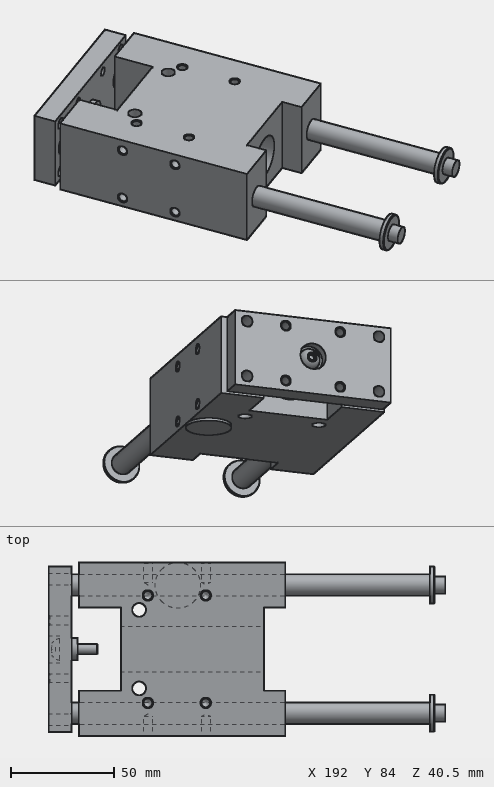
import cadquery as cq
import math

total_length = 192.0

housing_x = 14.5
housing_length = 100.0
housing_width = 84.0
housing_height = 39.2
notch_width = 40.1
front_notch_depth = 20.4
rear_notch_depth = 10.4
centre_bore_diameter = 22.0
foot_diameter = 22.0
foot_height = 1.3
foot_x = 62.4

tapped_x = 48.0
tapped_pitch_x = 28.0
top_tapped_pitch_y = 52.0
side_tapped_pitch_z = 28.0
tap_diameter = 4.2
tap_mouth_diameter = 5.2
tap_depth = 9.6
drill_tip_angle = 118.0

through_diameter = 6.5
through_x = 43.8
through_pitch_y = 38.0

plate_thickness = 11.1
plate_width = 80.3
plate_height = 38.0
axis_z = plate_height / 2
plate_hole_pitch_z = 28.0
corner_hole_diameter = 5.5
corner_hole_pitch_y = 68.0
inner_hole_pitch_y = 28.0
counterbore_diameter = 13.0
counterbore_depth = 5.0

rod_diameter = 10.5
rod_pitch = 62.0
collar_x = 184.5
collar_thickness = 2.3
collar_diameter = 18.0
collar_chamfer = 0.4
rod_end_diameter = 8.5

head_diameter = 10.5
head_height = 3.8
head_tip_diameter = 4.8
socket_size = 3.0
socket_depth = 2.0
spacer_diameter = 11.0
spacer_thickness = 2.9
screw_diameter = 5.2
screw_end_x = 23.8
screw_chamfer = 0.5


def rod_along_x(x_start, x_end, diameter, y=0.0):
    """Cylinder on the rod axis height, from x_start to x_end."""
    return cq.Workplane("YZ", origin=(x_start, y, axis_z)).circle(diameter / 2).extrude(x_end - x_start)


def drill(diameter, mouth_diameter, depth):
    """Blind drilled hole along -Z from the origin, with a 45 degree mouth and a conical tip."""
    radius = diameter / 2
    mouth_radius = mouth_diameter / 2
    tip_length = radius / math.tan(math.radians(drill_tip_angle / 2))
    profile = [
        (0, 0),
        (mouth_radius, 0),
        (radius, radius - mouth_radius),
        (radius, -depth),
        (0, -depth - tip_length),
    ]
    return cq.Workplane("XZ").polyline(profile).close().revolve(360, (0, 0, 0), (0, 1, 0))


def make_housing():
    centre_x = housing_x + housing_length / 2
    rear_x = housing_x + housing_length
    body = cq.Workplane("XY").box(housing_length, housing_width, housing_height, centered=(True, True, False))
    body = body.translate((centre_x, 0, 0))

    for edge_x, depth in ((housing_x, front_notch_depth), (rear_x, rear_notch_depth)):
        notch = cq.Workplane("XY").center(edge_x, 0).rect(2 * depth, notch_width).extrude(housing_height)
        body = body.cut(notch)

    for side in (-1, 1):
        body = body.cut(rod_along_x(housing_x, rear_x, rod_diameter, side * rod_pitch / 2))
    body = body.cut(rod_along_x(housing_x, rear_x, centre_bore_diameter))

    tap = drill(tap_diameter, tap_mouth_diameter, tap_depth)
    for side in (-1, 1):
        hole_y = side * through_pitch_y / 2
        through = cq.Workplane("XY").center(through_x, hole_y).circle(through_diameter / 2)
        body = body.cut(through.extrude(housing_height))
        side_tap = tap.rotate((0, 0, 0), (1, 0, 0), -side * 90)
        for x in (tapped_x, tapped_x + tapped_pitch_x):
            body = body.cut(tap.translate((x, side * top_tapped_pitch_y / 2, housing_height)))
            for level in (-1, 1):
                z = axis_z + level * side_tapped_pitch_z / 2
                body = body.cut(side_tap.translate((x, side * housing_width / 2, z)))

    foot_y = (housing_width - foot_diameter) / 2
    foot = cq.Workplane("XY").center(foot_x, foot_y).circle(foot_diameter / 2).extrude(-foot_height)
    return body.union(foot)


def make_plate():
    plate = cq.Workplane("XY").box(plate_thickness, plate_width, plate_height, centered=(False, True, False))
    front = cq.Workplane("YZ", origin=(0, 0, axis_z))
    corner_holes = front.rarray(corner_hole_pitch_y, plate_hole_pitch_z, 2, 2).circle(corner_hole_diameter / 2)
    plate = plate.cut(corner_holes.extrude(plate_thickness))

    tap = drill(tap_diameter, tap_mouth_diameter, plate_thickness).rotate((0, 0, 0), (0, 1, 0), -90)
    for side in (-1, 1):
        for level in (-1, 1):
            z = axis_z + level * plate_hole_pitch_z / 2
            plate = plate.cut(tap.translate((0, side * inner_hole_pitch_y / 2, z)))

    return plate.cut(rod_along_x(0, counterbore_depth, counterbore_diameter))


def make_screw():
    """Screw with a domed hexagon-socket head, and the spacer behind the plate."""
    head_x = counterbore_depth - head_height
    head_radius = head_diameter / 2
    tip_radius = head_tip_diameter / 2
    dome_centre_x = (head_radius**2 + counterbore_depth**2 - tip_radius**2 - head_x**2) / (2 * head_height)
    dome_radius = math.hypot(head_radius, dome_centre_x - counterbore_depth)
    middle_x = (head_x + counterbore_depth) / 2
    middle_radius = math.sqrt(dome_radius**2 - (dome_centre_x - middle_x) ** 2)
    head = (
        cq.Workplane("XY")
        .moveTo(counterbore_depth, 0)
        .lineTo(head_x, 0)
        .lineTo(head_x, tip_radius)
        .threePointArc((middle_x, middle_radius), (counterbore_depth, head_radius))
        .close()
        .revolve(360, (0, 0, 0), (1, 0, 0))
        .translate((0, 0, axis_z))
    )
    socket_corner_diameter = socket_size / math.cos(math.radians(30))
    socket = cq.Workplane("YZ").polygon(6, socket_corner_diameter).extrude(socket_depth)
    socket = socket.rotate((0, 0, 0), (1, 0, 0), 90)
    head = head.cut(socket.translate((head_x, 0, axis_z)))
    spacer = rod_along_x(plate_thickness, plate_thickness + spacer_thickness, spacer_diameter)
    shank = rod_along_x(counterbore_depth, screw_end_x, screw_diameter).faces(">X").chamfer(screw_chamfer)
    return head.union(spacer).union(shank)


def make_guide_rod(y):
    collar_end_x = collar_x + collar_thickness
    rod = rod_along_x(plate_thickness, collar_x, rod_diameter, y)
    collar = rod_along_x(collar_x, collar_end_x, collar_diameter, y).faces(">X").chamfer(collar_chamfer)
    rod_end = rod_along_x(collar_end_x, total_length, rod_end_diameter, y)
    return rod.union(collar).union(rod_end)


def make_slide():
    """Moving body: the front plate with its screw and both guide rods."""
    slide = make_plate().union(make_screw())
    for side in (-1, 1):
        slide = slide.union(make_guide_rod(side * rod_pitch / 2))
    return slide


housing = make_housing()
slide = make_slide()
result = cq.Compound.makeCompound([housing.val(), slide.val()])